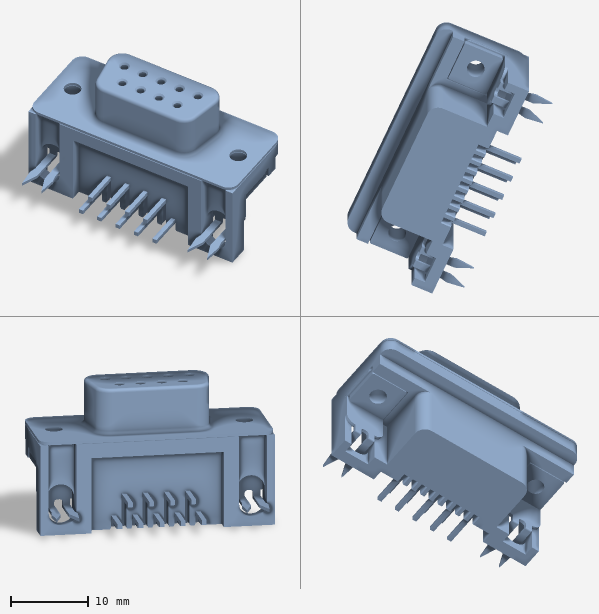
import cadquery as cq
import math

overall_width = 30.8
overall_height = 18.5
flange_depth = 12.5
flange_corner_radius = 1.5
mid_depth = flange_depth / 2
half_width = overall_width / 2

housing_top = 11.98
shell_gap = 0.1
sheet_thickness = 0.4
sheet_bottom = housing_top + shell_gap
sheet_top = sheet_bottom + sheet_thickness

mount_x = 12.5
mount_hole_diameter = 2.28

shroud_half_width = 8.55
shroud_depth = 7.9
shroud_side_angle = 10.0
shroud_corner_radius = 2.0
shroud_wall = 0.52
shroud_edge_radius = 0.45

contact_pitch = 2.77
contact_row_spacing = 2.83
back_row_count = 5
front_row_count = 4
socket_diameter = 1.0
socket_mouth_diameter = 1.42
mouth_angle = 45.0

pin_size = 0.62
pin_reach = 3.17
lower_pin_z = 1.6
pin_slot_flare = 0.12
pin_slot_flare_height = 0.22

wall_depth = 2.95
body_depth = 10.72
body_corner_radius = 1.55
shelf_z = 8.07
rear_ledge_z = 10.07
front_recess_depth = 1.55
front_recess_width = 17.37
clip_channel_width = 3.63
clip_channel_bottom = 1.23
clip_arch_top = 6.35

clip_thickness = 0.43
clip_width = 5.73
clip_top = 9.55
clip_back = 9.1
clip_rear_radius = 1.05
clip_bend_radius = 0.25
prong_bottom = 2.77
leg_half_width = 1.5
leg_notch_half_width = 0.55
leg_notch_top = 3.97
leg_notch_radius = 0.4
prong_bulge = 1.72
prong_bulge_start = 0.55
prong_widest_start = 1.45
prong_taper_start = 1.63
prong_reach = 3.95
prong_tip_x = 1.48
nut_size = 5.42
nut_edge_radius = 0.22

pocket_inner_x = mount_x - clip_width / 2


def box(x_range, y_range, z_range):
    """Axis-aligned block given by its limits along each axis."""
    size = [high - low for low, high in (x_range, y_range, z_range)]
    corner = (x_range[0], y_range[0], z_range[0])
    return cq.Workplane("XY").box(*size, centered=False).translate(corner)


def mounting_holes(bottom, top):
    return (
        cq.Workplane("XY", origin=(0, mid_depth, bottom))
        .pushPoints([(-mount_x, 0), (mount_x, 0)])
        .circle(mount_hole_diameter / 2)
        .extrude(top - bottom)
    )


def d_block(inset, bottom, top):
    """Trapezoid prism with round corners, its outline set in from the shroud's outside."""
    slope = math.radians(shroud_side_angle)
    depth = shroud_depth - 2 * inset
    wide = shroud_half_width - inset * (math.tan(slope) + 1 / math.cos(slope))
    narrow = wide - depth * math.tan(slope)
    outline = [(-wide, depth / 2), (wide, depth / 2), (narrow, -depth / 2), (-narrow, -depth / 2)]
    block = cq.Workplane("XY", origin=(0, mid_depth, bottom)).polyline(outline).close()
    return block.extrude(top - bottom).edges("|Z").fillet(shroud_corner_radius - inset)


def row_positions(count):
    return [(i - (count - 1) / 2) * contact_pitch for i in range(count)]


def make_shell():
    flange = box((-half_width, half_width), (0, flange_depth), (sheet_bottom, sheet_top))
    flange = flange.edges("|Z").fillet(flange_corner_radius)
    flange = flange.cut(mounting_holes(sheet_bottom, sheet_top))
    shell = flange.union(d_block(0, sheet_bottom, overall_height))
    shell = shell.faces(">Z").edges().fillet(shroud_edge_radius)
    root_margin = 0.3
    root = cq.selectors.BoxSelector(
        (-shroud_half_width, mid_depth - shroud_depth / 2 - root_margin, sheet_top - root_margin),
        (shroud_half_width, mid_depth + shroud_depth / 2 + root_margin, sheet_top + root_margin),
    )
    shell = shell.edges(root).edges("not |Z").fillet(shroud_edge_radius)
    return shell.cut(d_block(shroud_wall, sheet_bottom, overall_height))


def make_insulator():
    insulator = d_block(shroud_wall, housing_top, overall_height)
    mouth_depth = (socket_mouth_diameter - socket_diameter) / 2 / math.tan(math.radians(mouth_angle))
    for count, side in ((back_row_count, 1), (front_row_count, -1)):
        y = mid_depth + side * contact_row_spacing / 2
        centers = [(x, 0) for x in row_positions(count)]
        bores = cq.Workplane("XY", origin=(0, y, housing_top)).pushPoints(centers)
        bores = bores.circle(socket_diameter / 2).extrude(overall_height - housing_top)
        mouths = cq.Workplane("XY", origin=(0, y, overall_height)).pushPoints(centers)
        mouths = mouths.circle(socket_mouth_diameter / 2).extrude(-mouth_depth, taper=mouth_angle)
        insulator = insulator.cut(bores).cut(mouths)
    return insulator


def housing_blank():
    upper = box((-half_width, half_width), (0, body_depth), (shelf_z, housing_top))
    ledge = box((-half_width, half_width), (0, flange_depth), (rear_ledge_z, housing_top))
    ledge = ledge.edges("|Z and >Y").fillet(flange_corner_radius)
    wall = box((-half_width, half_width), (0, wall_depth), (0, shelf_z))
    core = box((-front_recess_width / 2, front_recess_width / 2), (0, body_depth), (0, shelf_z))
    core = core.edges("|Z and >Y").fillet(body_corner_radius)
    return upper.union(ledge).union(wall).union(core)


def clip_openings(side):
    """Pocket for the board lock and nut, front channel, and the arch open to the underside behind it."""
    center_x = side * mount_x
    pocket_x = sorted((side * pocket_inner_x, side * half_width))
    pocket = box(pocket_x, (wall_depth, clip_back), (shelf_z, clip_top))
    radius = clip_channel_width / 2
    channel_x = (center_x - radius, center_x + radius)
    channel = box(channel_x, (0, front_recess_depth), (clip_channel_bottom + radius, housing_top))

    def round_end(z):
        return cq.Workplane("XZ", origin=(center_x, 0, z)).circle(radius)

    channel_foot = round_end(clip_channel_bottom + radius).extrude(-front_recess_depth)
    arch_spring_z = clip_arch_top - radius
    arch = box(channel_x, (front_recess_depth, wall_depth), (0, arch_spring_z))
    arch_head = round_end(arch_spring_z).extrude(-wall_depth)
    return pocket.union(channel).union(channel_foot).union(arch).union(arch_head)


def pin_slot(x, pin_z):
    """Vertical slot from a pin down to the underside, flared at its open end."""
    half = pin_size / 2
    outline = [
        (x - half, pin_z),
        (x + half, pin_z),
        (x + half, pin_slot_flare_height),
        (x + half + pin_slot_flare, 0),
        (x - half - pin_slot_flare, 0),
        (x - half, pin_slot_flare_height),
    ]
    return cq.Workplane("XZ").polyline(outline).close().extrude(-wall_depth)


def make_housing():
    housing = housing_blank()
    recess_x = (-front_recess_width / 2, front_recess_width / 2)
    housing = housing.cut(box(recess_x, (0, front_recess_depth), (0, rear_ledge_z)))
    for side in (-1, 1):
        housing = housing.cut(clip_openings(side))
    housing = housing.cut(mounting_holes(shelf_z, housing_top))
    half = pin_size / 2
    for count, z in (
        (back_row_count, lower_pin_z),
        (front_row_count, lower_pin_z + contact_row_spacing),
    ):
        for x in row_positions(count):
            housing = housing.cut(pin_slot(x, z))
            pin = box((x - half, x + half), (-pin_reach, wall_depth), (z - half, z + half))
            housing = housing.union(pin)
    return housing


def make_board_lock(center_x):
    half = clip_width / 2
    plate_back = wall_depth + clip_thickness
    strip = box((-half, half), (wall_depth, clip_back), (clip_top - clip_thickness, clip_top))
    strip = strip.edges("|Z and >Y").fillet(clip_rear_radius)
    leg_bottom = leg_notch_top
    plate = box((-half, half), (wall_depth, plate_back), (leg_bottom, clip_top))
    plate = plate.edges("|Y and <Z").fillet(half - leg_half_width)
    legs = box(
        (-leg_half_width, leg_half_width),
        (wall_depth, plate_back),
        (prong_bottom, leg_bottom + clip_thickness),
    )
    legs = legs.edges("|X and <Z and >Y").fillet(clip_bend_radius)
    lock = strip.union(plate).union(legs)
    lock = lock.edges("|X and >Z and <Y").fillet(clip_bend_radius)

    notch = box(
        (-leg_notch_half_width, leg_notch_half_width),
        (wall_depth, plate_back),
        (prong_bottom, leg_notch_top),
    )
    lock = lock.cut(notch.edges("|Y and >Z").fillet(leg_notch_radius))
    for side in (-1, 1):
        outline = [
            (side * leg_notch_half_width, wall_depth),
            (side * leg_half_width, wall_depth),
            (side * leg_half_width, -prong_bulge_start),
            (side * prong_bulge, -prong_widest_start),
            (side * prong_bulge, -prong_taper_start),
            (side * prong_tip_x, -prong_reach),
            (side * leg_notch_half_width, -prong_taper_start),
        ]
        prong = cq.Workplane("XY", origin=(0, 0, prong_bottom)).polyline(outline).close()
        lock = lock.union(prong.extrude(clip_thickness))
    lock = lock.translate((center_x, 0, 0))
    return lock.cut(mounting_holes(clip_top - clip_thickness, clip_top))


def make_nut(center_x):
    x_range = (center_x - nut_size / 2, center_x + nut_size / 2)
    y_range = (mid_depth - nut_size / 2, mid_depth + nut_size / 2)
    nut_top = clip_top - clip_thickness
    nut = box(x_range, y_range, (shelf_z, nut_top)).edges("|Z").fillet(nut_edge_radius)
    return nut.cut(mounting_holes(shelf_z, nut_top))


shell = make_shell()
insulator = make_insulator()
housing = make_housing()
board_locks = [make_board_lock(x) for x in (-mount_x, mount_x)]
nuts = [make_nut(x) for x in (-mount_x, mount_x)]

parts = [shell, insulator, housing, *board_locks, *nuts]
result = cq.Compound.makeCompound([part.solids().val() for part in parts])